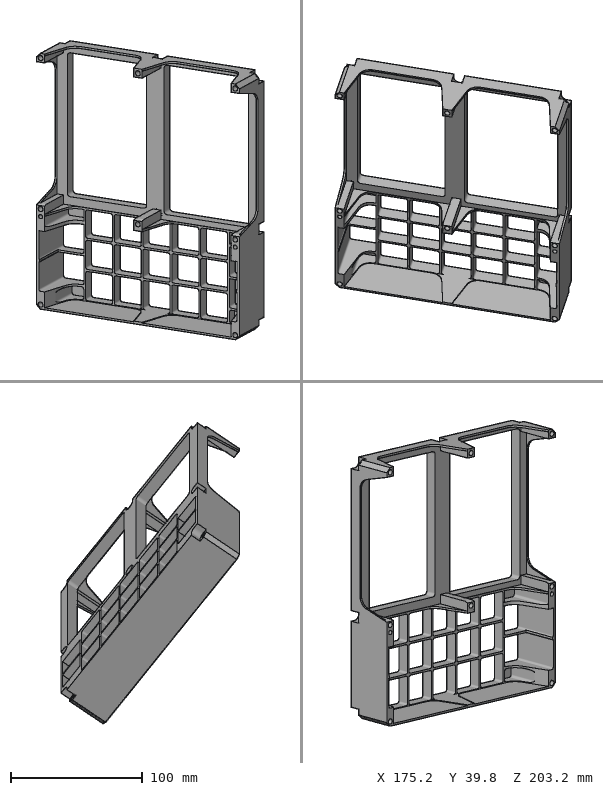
import cadquery as cq
import math

WIDTH = 175.2
DEPTH = 39.8
HEIGHT = 203.2
CORNER_CHAMFER = 3.5
HALF_WIDTH = WIDTH / 2

WALL = 1.6
DISPLAY_FRONT = 30.5
KEYPAD_FRONT = 29.9
RIM_FRONT = 30.0
FLOOR_FRONT = 38.2
CUTAWAY_ANGLE = 15.0
CUTAWAY_RADIUS = 9.5
SIDE_CUTAWAY_BOTTOM = 82.3

SCREW_INSET = 3.7
SCREW_DIAMETER = 4.0
HEAD_DIAMETER = 8.3
HEAD_DEPTH = 8.3
BOSS_SIZE = 7.1
BOSS_MARGIN = BOSS_SIZE - SCREW_INSET
SCREW_X = HALF_WIDTH - SCREW_INSET
BOSS_INNER_X = HALF_WIDTH - BOSS_SIZE
TOP_SCREW_Z = HEIGHT - SCREW_INSET
MIDDLE_SCREW_Z = 79.7
MIDDLE_BOSS_TOP = MIDDLE_SCREW_Z + BOSS_MARGIN
BLIND_HOLE_DIAMETER = 3.3
BLIND_HOLE_DEPTH = 6.0
DRILL_TIP_ANGLE = 118.0
BLIND_HOLE_Z = 73.5

LEFT_WINDOW = (-77.2, -9.0, 82.5, 196.7)
RIGHT_WINDOW = (6.3, 79.0, 80.3, 199.0)
WINDOW_RADIUS = 2.6

KEY_SIZE = 23.2
KEY_PITCH = KEY_SIZE + WALL
KEY_RADIUS = 1.6
KEY_COLUMNS = 5
KEY_ROWS = 3
KEYPAD_BOTTOM = 2.2
KEYPAD_TOP = 74.2
SHELF_TOP = KEYPAD_TOP + WALL
KEYPAD_HALF_WIDTH = (KEY_COLUMNS - 1) / 2 * KEY_PITCH + KEY_SIZE / 2
SIDE_KEY_INNER_X = KEYPAD_HALF_WIDTH + WALL
SIDE_KEY_OUTER_X = 85.3
SIDE_KEY_BOTTOM = 14.2
SIDE_WALL = 2.8

POCKET_RADIUS = 2.0
UPPER_POCKET_OUTER_X = 80.5
UPPER_POCKET_BOTTOM = 65.0
LOWER_POCKET_OUTER_X = 77.2
LOWER_POCKET_TOP = SIDE_KEY_BOTTOM - WALL


def box(x0, x1, y0, y1, z0, z1):
    """Block between the given limits."""
    return cq.Workplane("XY").box(x1 - x0, y1 - y0, z1 - z0, centered=False).translate((x0, y0, z0))


def opening(x0, x1, z0, z1, radius):
    """Block through the whole depth with its four corners rounded."""
    return box(x0, x1, 0, DEPTH, z0, z1).edges("|Y").fillet(radius)


def cutaway(plane, start, end):
    """Prism with leaning sides that narrows from [start, end] at the front to the rim.

    Y is the second axis of the plane, and the prism runs through the part both ways.
    """
    lean = RIM_FRONT * math.tan(math.radians(CUTAWAY_ANGLE))
    points = [(start, 0), (end, 0), (end - lean, RIM_FRONT), (start + lean, RIM_FRONT)]
    outline = cq.Sketch().polygon(points + points[:1])
    outline = outline.vertices(">Y").fillet(CUTAWAY_RADIUS)
    return cq.Workplane(plane).placeSketch(outline).extrude(HEIGHT, both=True)


def hole(x, z, diameter, y0, y1):
    """Cylinder along Y from y0 to y1."""
    return cq.Workplane("XZ", origin=(x, y0, z)).circle(diameter / 2).extrude(y0 - y1)


def side_box(outer_x, y1, z0, z1, side):
    """Block beside the keypad, from the front to y1, on the left (-1) or the right (1)."""
    x0, x1 = sorted((side * SIDE_KEY_INNER_X, side * outer_x))
    return box(x0, x1, 0, y1, z0, z1)


def head_recess(x, z, x_direction, z_direction):
    """Screw head recess at the back; each nonzero direction (-1 or 1) opens it that way."""
    radius = HEAD_DIAMETER / 2
    front = DEPTH - HEAD_DEPTH
    recess = hole(x, z, HEAD_DIAMETER, front, DEPTH)
    if x_direction:
        x0, x1 = sorted((x, x + x_direction * HEAD_DIAMETER))
        recess = recess.union(box(x0, x1, front, DEPTH, z - radius, z + radius))
    if z_direction:
        z0, z1 = sorted((z, z + z_direction * HEAD_DIAMETER))
        recess = recess.union(box(x - radius, x + radius, front, DEPTH, z0, z1))
    return recess


body = box(-HALF_WIDTH, HALF_WIDTH, 0, DEPTH, 0, HEIGHT).edges("|Y").chamfer(CORNER_CHAMFER)

inner_x = HALF_WIDTH - WALL
display_hollow = box(-inner_x, inner_x, 0, DISPLAY_FRONT, SHELF_TOP, HEIGHT - WALL)
for x0, x1 in (
    (-HALF_WIDTH, -BOSS_INNER_X),
    (-BOSS_SIZE / 2, BOSS_SIZE / 2),
    (BOSS_INNER_X, HALF_WIDTH),
):
    display_hollow = display_hollow.cut(box(x0, x1, 0, DEPTH, HEIGHT - BOSS_SIZE, HEIGHT))
    display_hollow = display_hollow.cut(box(x0, x1, 0, DEPTH, 0, MIDDLE_BOSS_TOP))
body = body.cut(display_hollow)

body = body.cut(box(-SIDE_KEY_INNER_X, SIDE_KEY_INNER_X, 0, KEYPAD_FRONT, KEYPAD_BOTTOM, KEYPAD_TOP))
bar_x = HALF_WIDTH - SIDE_WALL
lower_key_middle = SIDE_KEY_BOTTOM + KEY_SIZE / 2
upper_key_middle = lower_key_middle + KEY_PITCH
body = body.cut(box(-bar_x, bar_x, 0, KEYPAD_FRONT, lower_key_middle, upper_key_middle))

above_bottom_wall = box(-HALF_WIDTH, HALF_WIDTH, 0, DEPTH, WALL, HEIGHT)
for start, end in ((-BOSS_INNER_X, -BOSS_SIZE / 2), (BOSS_SIZE / 2, BOSS_INNER_X)):
    body = body.cut(cutaway("XY", start, end).intersect(above_bottom_wall))
side_plane = cq.Plane(origin=(0, 0, 0), xDir=(0, 0, 1), normal=(-1, 0, 0))
body = body.cut(cutaway(side_plane, SIDE_CUTAWAY_BOTTOM, HEIGHT - BOSS_SIZE))

for window in (LEFT_WINDOW, RIGHT_WINDOW):
    body = body.cut(opening(*window, WINDOW_RADIUS))

for column in range(KEY_COLUMNS):
    x0 = column * KEY_PITCH - KEYPAD_HALF_WIDTH
    for row in range(KEY_ROWS):
        z0 = KEYPAD_BOTTOM + row * KEY_PITCH
        z1 = min(z0 + KEY_SIZE, KEYPAD_TOP)
        body = body.cut(opening(x0, x0 + KEY_SIZE, z0, z1, KEY_RADIUS))

for side, outer_face in ((-1, "<X"), (1, ">X")):
    for z0 in (SIDE_KEY_BOTTOM, SIDE_KEY_BOTTOM + KEY_PITCH):
        key = side_box(SIDE_KEY_OUTER_X, DEPTH, z0, z0 + KEY_SIZE, side)
        body = body.cut(key.faces("<Z").edges("|Y").fillet(KEY_RADIUS))
    upper_pocket = side_box(UPPER_POCKET_OUTER_X, FLOOR_FRONT, UPPER_POCKET_BOTTOM, KEYPAD_TOP, side)
    body = body.cut(upper_pocket.faces("<Z").edges(outer_face).fillet(POCKET_RADIUS))
    lower_pocket = side_box(LOWER_POCKET_OUTER_X, FLOOR_FRONT, KEYPAD_BOTTOM, LOWER_POCKET_TOP, side)
    body = body.cut(lower_pocket.edges("|Y").fillet(POCKET_RADIUS))

screw_columns = ((-SCREW_X, -1), (0, 0), (SCREW_X, 1))
screw_rows = ((SCREW_INSET, -1), (MIDDLE_SCREW_Z, 0), (TOP_SCREW_Z, 1))
for x, x_direction in screw_columns:
    for z, z_direction in screw_rows:
        if x_direction == 0 and z_direction == -1:
            continue
        body = body.cut(hole(x, z, SCREW_DIAMETER, 0, DEPTH))
        body = body.cut(head_recess(x, z, x_direction, z_direction))

tip_radius = BLIND_HOLE_DIAMETER / 2
tip_length = tip_radius / math.tan(math.radians(DRILL_TIP_ANGLE / 2))
for x in (-SCREW_X, SCREW_X):
    body = body.cut(hole(x, BLIND_HOLE_Z, BLIND_HOLE_DIAMETER, 0, BLIND_HOLE_DEPTH))
    tip = cq.Solid.makeCone(
        tip_radius, 0, tip_length, cq.Vector(x, BLIND_HOLE_DEPTH, BLIND_HOLE_Z), cq.Vector(0, 1, 0)
    )
    body = body.cut(cq.Workplane(tip))

result = body